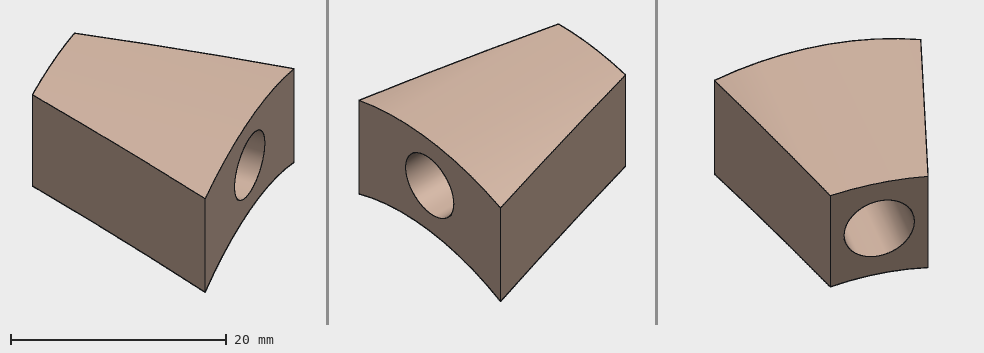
import cadquery as cq

length = 20.0
narrow_width = 9.48
wide_width = 20.0

outer_radius = 30.0
inner_radius = 25.0
crown_thickness = 11.25

bore_diameter = 6.8
bore_height = crown_thickness / 2


def cylinder_along_x(radius, center_z):
    """Full-length cylinder on the symmetry plane, at the given height."""
    return cq.Workplane("YZ").center(0, center_z).circle(radius).extrude(length)


block_bottom = -inner_radius / 2
block_top = crown_thickness + inner_radius / 2
wedge = (
    cq.Workplane("XY", origin=(0, 0, block_bottom))
    .polyline([
        (0, -narrow_width / 2),
        (length, -wide_width / 2),
        (length, wide_width / 2),
        (0, narrow_width / 2),
    ])
    .close()
    .extrude(block_top - block_bottom)
)

outer_cylinder = cylinder_along_x(outer_radius, crown_thickness - outer_radius)
inner_cylinder = cylinder_along_x(inner_radius, -inner_radius)
bore = cylinder_along_x(bore_diameter / 2, bore_height)

result = wedge.intersect(outer_cylinder).cut(inner_cylinder).cut(bore)